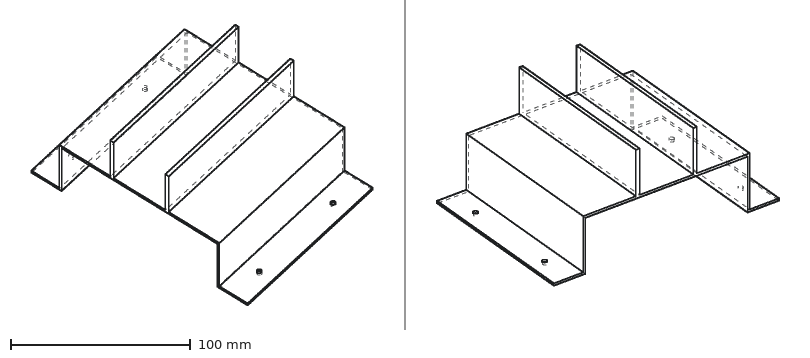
import cadquery as cq

width = 155.0
depth = 110.0
height = 68.0

sheet = 1.5
deck_thickness = 1.7
channel_width = 114.7
deck_top = 38.0

fin_thickness = 2.5
fin_gap = 37.0

hole_diameter = 3.0
hole_spacing_x = 134.8
hole_spacing_y = 65.0


def box(size_x, size_z, center_x, bottom_z):
    """Full-depth rectangular bar, centred in Y."""
    bar = cq.Workplane("XY").box(size_x, depth, size_z, centered=(True, True, False))
    return bar.translate((center_x, 0, bottom_z))


result = box(channel_width, deck_thickness, 0, deck_top - deck_thickness)

flange_width = (width - channel_width) / 2 + sheet
wall_x = (channel_width - sheet) / 2
flange_x = (width - flange_width) / 2
fin_x = (fin_gap + fin_thickness) / 2
for side in (-1, 1):
    result = result.union(box(sheet, deck_top, side * wall_x, 0))
    result = result.union(box(flange_width, sheet, side * flange_x, 0))
    result = result.union(box(fin_thickness, height - deck_top, side * fin_x, deck_top))

holes = (
    cq.Workplane("XY")
    .rarray(hole_spacing_x, hole_spacing_y, 2, 2)
    .circle(hole_diameter / 2)
    .extrude(sheet)
)
result = result.cut(holes)